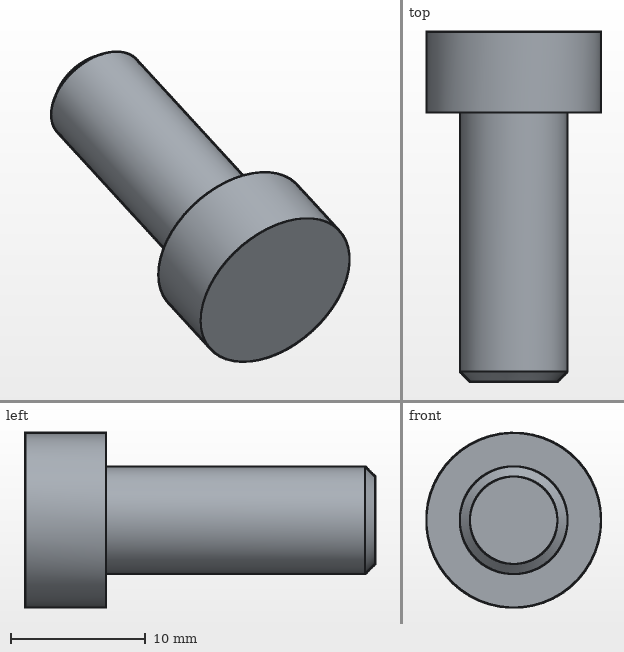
import cadquery as cq

total_length = 26.0
head_diameter = 13.0
head_height = 6.0
shank_diameter = 8.0
tip_chamfer = 0.75

shank_length = total_length - head_height


def make_head():
    """Plain cylindrical head, from its seating face at Y = 0 toward +Y."""
    return cq.Workplane("XZ").circle(head_diameter / 2).extrude(-head_height)


def make_shank():
    """Shank running from the head toward -Y, with a chamfered tip."""
    shank = cq.Workplane("XZ").circle(shank_diameter / 2).extrude(shank_length)
    return shank.faces("<Y").chamfer(tip_chamfer)


result = make_head().union(make_shank())